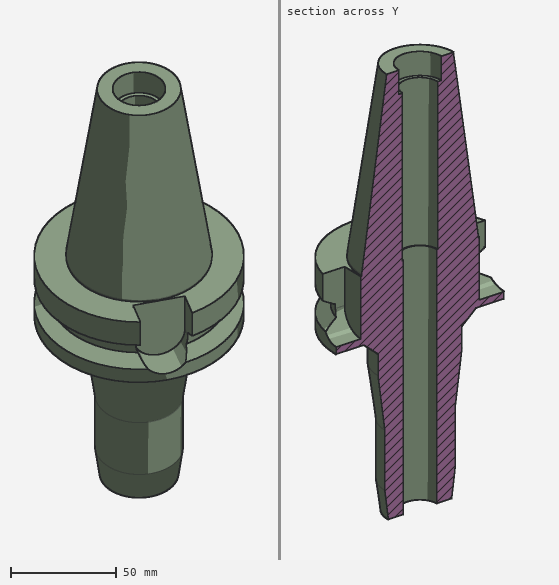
import cadquery as cq

TOTAL_HEIGHT = 236.8
NOSE_CHAMFER_TOP = 16.3
NOSE_TOP = 48.3
NECK_CONE_TOP = 78.4
NECK_TOP = 89.7
FLANGE_BOTTOM = 96.9
LOWER_RIM_TOP = 105.0
GROOVE_BOTTOM = 109.2
GROOVE_TOP = 115.5
UPPER_RIM_BOTTOM = 119.8
FLANGE_TOP = 134.0
TAPER_BOTTOM = 135.0

NOSE_TIP_RADIUS = 19.0
NOSE_RADIUS = 21.0
NECK_RADIUS = 25.0
FLANGE_UNDERSIDE_RADIUS = 33.5
FLANGE_RADIUS = 50.0
GROOVE_RADIUS = 42.6
TAPER_LARGE_RADIUS = 34.8
TAPER_RATE = 7 / 24
TAPER_SMALL_RADIUS = TAPER_LARGE_RADIUS - (TOTAL_HEIGHT - TAPER_BOTTOM) * TAPER_RATE / 2

THROUGH_BORE_RADIUS = 10.0
MIDDLE_BORE_RADIUS = 10.5
MIDDLE_BORE_DEPTH = 101.8
TOP_BORE_RADIUS = 12.5
TOP_BORE_DEPTH = 12.8

SLOT_WIDTH = 25.5
SLOT_BOTTOM = 100.9
SLOT_FLOOR_X = 35.3


def turned_body():
    """Solid of revolution about Z: nose, neck, grooved flange and taper."""
    profile = [
        (0, 0),
        (NOSE_TIP_RADIUS, 0),
        (NOSE_RADIUS, NOSE_CHAMFER_TOP),
        (NOSE_RADIUS, NOSE_TOP),
        (NECK_RADIUS, NECK_CONE_TOP),
        (NECK_RADIUS, NECK_TOP),
        (FLANGE_UNDERSIDE_RADIUS, FLANGE_BOTTOM),
        (FLANGE_RADIUS, FLANGE_BOTTOM),
        (FLANGE_RADIUS, LOWER_RIM_TOP),
        (GROOVE_RADIUS, GROOVE_BOTTOM),
        (GROOVE_RADIUS, GROOVE_TOP),
        (FLANGE_RADIUS, UPPER_RIM_BOTTOM),
        (FLANGE_RADIUS, FLANGE_TOP),
        (TAPER_LARGE_RADIUS, FLANGE_TOP),
        (TAPER_LARGE_RADIUS, TAPER_BOTTOM),
        (TAPER_SMALL_RADIUS, TOTAL_HEIGHT),
        (0, TOTAL_HEIGHT),
    ]
    return cq.Workplane("XZ").polyline(profile).close().revolve(360, (0, 0), (0, 1))


def bore(radius, depth):
    """Round cutter sunk from the top face."""
    return cq.Workplane("XY").workplane(offset=TOTAL_HEIGHT - depth).circle(radius).extrude(depth)


def drive_slot(side):
    """Round-bottomed slot cutter, open at the rim; side is -1 or +1 along X."""
    radius = SLOT_WIDTH / 2
    arc_center = SLOT_BOTTOM + radius
    return (
        cq.Workplane("YZ", origin=(side * SLOT_FLOOR_X, 0, 0))
        .moveTo(-radius, FLANGE_TOP)
        .lineTo(-radius, arc_center)
        .threePointArc((0, SLOT_BOTTOM), (radius, arc_center))
        .lineTo(radius, FLANGE_TOP)
        .close()
        .extrude(side * FLANGE_RADIUS)
    )


result = turned_body()
result = result.cut(bore(THROUGH_BORE_RADIUS, TOTAL_HEIGHT))
result = result.cut(bore(MIDDLE_BORE_RADIUS, MIDDLE_BORE_DEPTH))
result = result.cut(bore(TOP_BORE_RADIUS, TOP_BORE_DEPTH))
for side in (-1, 1):
    result = result.cut(drive_slot(side))